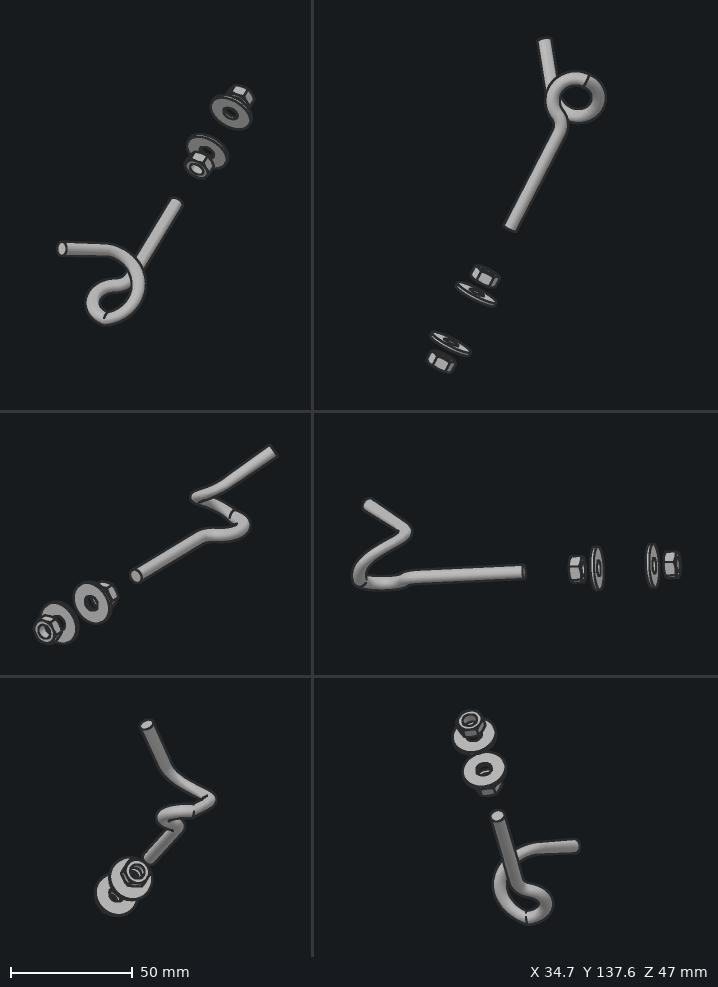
import cadquery as cq
import math

wire_diameter = 6.0
ring_radius = 9.5
shank_end_y = 60.0
shank_start_y = 15.0
coil_turn = 233.3
coil_pitch = 36.5
tail_run = 20.05
tip_height = 35.41
joint_tolerance = 0.001

washer_diameter = 18.0
washer_hole_diameter = 6.4
washer_thickness = 1.6
nut_across_flats = 10.0
nut_thickness = 5.0
nut_bore_diameter = 6.0
nut_chamfer_angle = 30.0
nut_start_ys = [80.0, 120.0]
washer_start_ys = [90.0, 113.4]

neck_radius = (shank_start_y**2 - ring_radius**2) / (2 * ring_radius)
neck_center = cq.Vector(-neck_radius, shank_start_y, 0)
neck_turn = math.atan2(shank_start_y, neck_radius)

coil_start_angle = 1.5 * math.pi
coil_end_angle = coil_start_angle + math.radians(coil_turn)
coil_height = coil_pitch * coil_turn / 360
tail_slope = (tip_height - coil_height) / tail_run


def heading(angle):
    """Level direction of counterclockwise travel round the ring at an angle from +X."""
    return cq.Vector(-math.sin(angle), math.cos(angle), 0)


def on_ring(angle, z=0.0):
    """Point on the ring's centreline at an angle from +X, at height z."""
    return cq.Vector(ring_radius * math.cos(angle), ring_radius * math.sin(angle), z)


def on_neck(angle):
    """Point on the neck bend's centreline at an angle from +X."""
    return neck_center + cq.Vector(math.cos(angle), math.sin(angle), 0) * neck_radius


def wire_section(center, normal):
    """Circular section of the wire, its starting point lying level with its centre."""
    level = cq.Vector(0, 0, 1).cross(normal)
    plane = cq.Plane(origin=center, xDir=level, normal=normal)
    return cq.Workplane(plane).circle(wire_diameter / 2)


def make_flat_stretch():
    """Shank, neck bend and the half ring, all lying in the XY plane."""
    shank_end = cq.Vector(0, shank_end_y, 0)
    shank_start = cq.Vector(0, shank_start_y, 0)
    ring_start_angle = math.pi - neck_turn
    ring_start = on_ring(ring_start_angle)
    ring_middle = on_ring((ring_start_angle + coil_start_angle) / 2)

    shank = cq.Edge.makeLine(shank_end, shank_start)
    neck = cq.Edge.makeThreePointArc(shank_start, on_neck(-neck_turn / 2), ring_start)
    half_ring = cq.Edge.makeThreePointArc(ring_start, ring_middle, on_ring(coil_start_angle))
    path = cq.Wire.assembleEdges([shank, neck, half_ring])
    return wire_section(shank_end, cq.Vector(0, -1, 0)).sweep(cq.Workplane(obj=path))


def make_coil():
    """Rising part of the ring; its section stays a circle in the upright plane through the Z axis."""
    helix = cq.Wire.makeHelix(coil_pitch, coil_height, ring_radius)
    path = helix.rotate(cq.Vector(0, 0, 0), cq.Vector(0, 0, 1), math.degrees(coil_start_angle))
    section = wire_section(on_ring(coil_start_angle), heading(coil_start_angle))
    return section.sweep(cq.Workplane(obj=path), isFrenet=True)


def make_tail():
    """Straight tail, blending from the coil's upright end section to a square-cut tip."""
    coil_end = on_ring(coil_end_angle, coil_height)
    tail_direction = heading(coil_end_angle) + cq.Vector(0, 0, tail_slope)
    root = wire_section(coil_end, heading(coil_end_angle))
    tip = wire_section(coil_end + tail_direction * tail_run, tail_direction)
    sections = [root.wires().val(), tip.wires().val()]
    ruled = True
    return cq.Solid.makeLoft(sections, ruled)


def make_hook():
    """All stretches of wire joined into one solid."""
    flat = make_flat_stretch().val()
    coil = make_coil().val()
    tail = make_tail()
    return flat.fuse(coil, tail, tol=joint_tolerance).Solids()[0]


def make_washer(start_y):
    """Flat ring on the shank axis, from start_y towards +Y."""
    plate = cq.Workplane("XZ", origin=(0, start_y, 0)).circle(washer_diameter / 2)
    return plate.circle(washer_hole_diameter / 2).extrude(-washer_thickness)


def make_nut(start_y):
    """Hexagon nut with flats facing +Z and -Z and both ends turned to a cone at the corners."""
    corner_radius = nut_across_flats / math.sqrt(3)
    flat_radius = nut_across_flats / 2
    chamfer_depth = (corner_radius - flat_radius) * math.tan(math.radians(nut_chamfer_angle))
    end_y = start_y + nut_thickness

    blank = cq.Workplane("XZ", origin=(0, start_y, 0)).polygon(6, 2 * corner_radius)
    blank = blank.circle(nut_bore_diameter / 2).extrude(-nut_thickness)
    turned_profile = [
        (0, start_y),
        (flat_radius, start_y),
        (corner_radius, start_y + chamfer_depth),
        (corner_radius, end_y - chamfer_depth),
        (flat_radius, end_y),
        (0, end_y),
    ]
    turned = cq.Workplane("XY").polyline(turned_profile).close().revolve(360, (0, 0), (0, 1))
    return blank.intersect(turned)


hook = make_hook()
washers = [make_washer(start_y) for start_y in washer_start_ys]
nuts = [make_nut(start_y) for start_y in nut_start_ys]

result = cq.Compound.makeCompound(
    [hook, *(washer.val() for washer in washers), *(nut.val() for nut in nuts)]
)